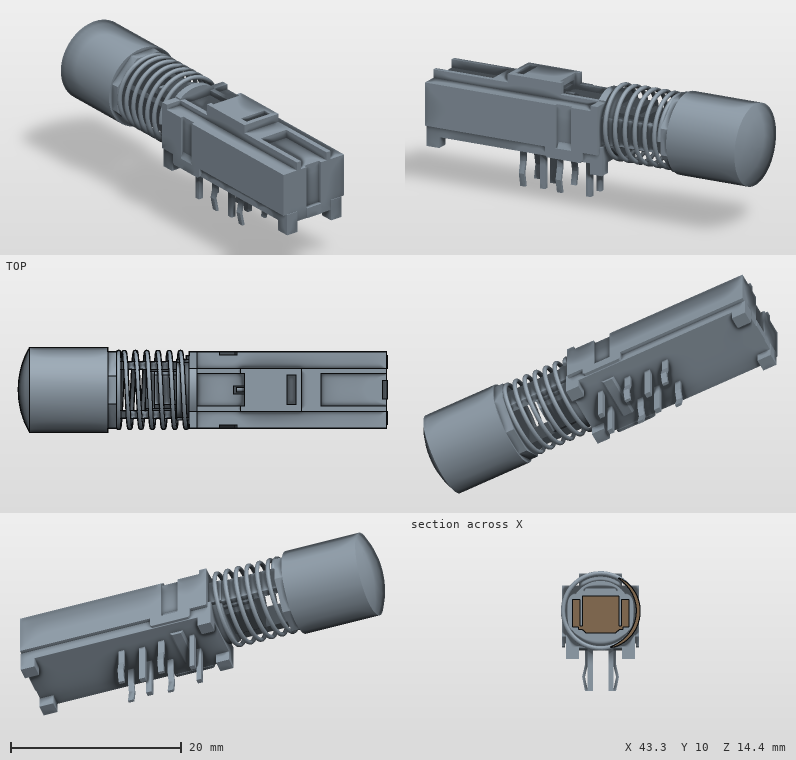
import cadquery as cq
import math


cap_diameter = 10.0
cap_radius = cap_diameter / 2
dome_height = 1.35
cap_end = 10.5
collar_end = 11.55
collar_half = 4.5
collar_chamfer = 2.85

wire_diameter = 0.5
wire_radius = wire_diameter / 2
coil_outer_diameter = 9.3
coil_radius = (coil_outer_diameter - wire_diameter) / 2
coil_turns = 6
coil_start, coil_end = 11.77, 19.7
coil_pitch = (coil_end - coil_start) / coil_turns

arm_inner, arm_outer = 2.42, 3.35
arm_bottom, arm_top = -1.9, 1.4
shaft_start = 14.98
shaft_step = 15.97
shaft_half_width = 2.15
shaft_flat_half = 1.75
shaft_half_height = 2.6
shaft_shoulder_top = 1.8
shaft_shoulder_bottom = -2.2
bridge_top = -1.75

tube_start = 18.55
tube_radius = 3.5
seat_diameter = 8.0
seat_radius = seat_diameter / 2
seat_top = -2.2
lug_outer = 3.55

body_start = 20.05
body_end = 43.2
body_half_width = 4.5
body_bottom, body_top = -3.05, 2.3
flange_end = 20.95
flange_top = 2.95
rib_half_width = 2.5
block_start, block_end = 26.05, 33.2
block_top = 4.37
rear_rib_top = 3.35
channel_half_width = 1.9

block_notch = 0.48
window_half_width = 1.7
window_top = 3.55
window_depth = 1.75
window_step_depth = 0.2
window_step_height = 0.65
hook_start = 25.25
hook_half_width = 0.48
hook_depth = 0.65
hook_rod_start = 25.6
hook_rod_diameter = 0.5
block_slot_start, block_slot_end = 31.5, 32.6
block_slot_half_width = 1.75
rear_channel_start = 35.5

side_slot_start, side_slot_end = 23.6, 25.65
side_slot_depth = 0.4
ledge_end = 25.45
ledge_top = -2.3
tab_start, tab_end = 22.1, 27.05
tab_chamfer = 0.2
tab_step_z = -3.8
tab_gap = 0.15

base_start = 19.7
base_end = 43.3
base_half_width = 4.03
base_bottom = -4.35
foot_bottom = -5.65
foot_inner = 2.5
front_foot_length = 1.6
rear_foot_length = 1.75
clip_start = 42.73
clip_half_width = 1.1
bar_start, bar_end = 23.65, 25.25
bar_depth = 0.35
bar_chamfer = 0.25
bar_half_width = 2.6

overall_height = 14.4
pin_bottom = cap_radius - overall_height
straight_pin_inner, straight_pin_outer = 0.9, 1.5
straight_pins = ((22.6, 0.6), (28.75, 0.7))
bent_pin_starts = (26.28, 31.2)
bent_pin_width = 0.7
bent_pin_inner, bent_pin_outer = 1.47, 1.8
bend_start_z = -6.28
bend_peak_z = -7.75
bend_offset = 0.35

overlap = 0.2


def block(x0, x1, y0, y1, z0, z1):
    """Box given by its limits on each axis."""
    return cq.Workplane("XY").box(x1 - x0, y1 - y0, z1 - z0, centered=False).translate((x0, y0, z0))


def centred_block(x0, x1, half_width, z0, z1):
    """Box symmetric about the plane Y = 0."""
    return block(x0, x1, -half_width, half_width, z0, z1)


def rod(x0, x1, radius):
    """Cylinder along the plunger axis."""
    return cq.Workplane("YZ", origin=(x0, 0, 0)).circle(radius).extrude(x1 - x0)


def profile_along_x(points, x0, x1):
    """Closed Y-Z outline extruded from x0 to x1."""
    return cq.Workplane("YZ", origin=(x0, 0, 0)).polyline(points).close().extrude(x1 - x0)


def both_sides(shape):
    """The shape together with its mirror image across Y = 0."""
    return shape.union(shape.mirror("XZ"))


def make_button():
    sphere_radius = (cap_radius**2 + dome_height**2) / (2 * dome_height)
    half_angle = math.asin(cap_radius / sphere_radius) / 2
    mid_x = sphere_radius * (1 - math.cos(half_angle))
    mid_radius = sphere_radius * math.sin(half_angle)
    cap = (
        cq.Workplane("XY")
        .moveTo(0, 0)
        .threePointArc((mid_x, mid_radius), (dome_height, cap_radius))
        .lineTo(cap_end, cap_radius)
        .lineTo(cap_end, 0)
        .close()
        .revolve(360, (0, 0, 0), (1, 0, 0))
    )
    collar = centred_block(cap_end - overlap, collar_end, collar_half, -collar_half, collar_half)
    return cap.union(collar.edges("|X").chamfer(collar_chamfer))


def make_spring_pieces():
    """Helical coil from -Y round to -Y, and the flat half turn over +Z that leads into it."""
    helix = cq.Wire.makeHelix(coil_pitch, coil_pitch * coil_turns, coil_radius)
    coil = (
        cq.Workplane("XZ", origin=(coil_radius, 0, 0))
        .circle(wire_radius)
        .sweep(cq.Workplane(obj=helix), isFrenet=True)
        .rotate((0, 0, 0), (0, 1, 0), 90)
        .rotate((0, 0, 0), (1, 0, 0), -90)
    )
    end_turn = (
        cq.Workplane("XY")
        .center(0, -coil_radius)
        .circle(wire_radius)
        .revolve(180, (0, coil_radius, 0), (-1, coil_radius, 0))
    )
    return [piece.translate((coil_start, 0, 0)).val() for piece in (coil, end_turn)]


def make_plunger():
    arms = both_sides(
        block(collar_end - overlap, body_start + overlap, arm_inner, arm_outer, arm_bottom, arm_top)
    )
    shaft = profile_along_x(
        [
            (-shaft_flat_half, -shaft_half_height),
            (shaft_flat_half, -shaft_half_height),
            (shaft_half_width, shaft_shoulder_bottom),
            (shaft_half_width, shaft_shoulder_top),
            (shaft_flat_half, shaft_half_height),
            (-shaft_flat_half, shaft_half_height),
            (-shaft_half_width, shaft_shoulder_top),
            (-shaft_half_width, shaft_shoulder_bottom),
        ],
        shaft_start,
        body_start,
    )
    step = centred_block(shaft_start, shaft_step, shaft_half_width, shaft_shoulder_top, shaft_half_height)
    bridge = centred_block(shaft_start, body_start, arm_inner + overlap, shaft_shoulder_bottom, bridge_top)
    return arms.union(shaft.cut(step)).union(bridge)


def make_guide_tube():
    tube = rod(tube_start, body_start + overlap, tube_radius)
    lower_seat = rod(tube_start, body_start + overlap, seat_radius).intersect(
        centred_block(tube_start, body_start + overlap, seat_radius, -seat_radius, seat_top)
    )
    lugs = both_sides(block(tube_start, body_start + overlap, arm_inner, lug_outer, arm_bottom, arm_top))
    return tube.union(lower_seat).union(lugs)


def make_housing():
    body = centred_block(body_start, body_end, body_half_width, body_bottom, body_top)
    ears = both_sides(block(body_start, flange_end, rib_half_width, body_half_width, body_top, flange_top))
    ring = rod(body_start, flange_end, seat_radius).intersect(
        centred_block(body_start, flange_end, rib_half_width, 0, seat_radius)
    )
    front_rib = centred_block(flange_end, block_start, rib_half_width, body_top, flange_top)
    top_block = centred_block(block_start, block_end, rib_half_width, body_top, block_top)
    rear_rib = centred_block(block_end, body_end, rib_half_width, body_top, rear_rib_top)
    for piece in (ears, ring, front_rib, top_block, rear_rib):
        body = body.union(piece)
    return body


def cut_top_recesses(body):
    notch_end = block_start + block_notch
    window_end = notch_end + window_depth
    step_start = notch_end + window_step_depth
    step_top = body_top + window_step_height
    front_channel = centred_block(flange_end, notch_end, channel_half_width, body_top, block_top)
    window = centred_block(notch_end, window_end, window_half_width, body_top, window_top)
    window_step = centred_block(step_start, window_end, window_half_width, body_top, step_top)
    hook_pocket = centred_block(hook_start, notch_end, hook_half_width, body_top - hook_depth, body_top)
    slot = centred_block(block_slot_start, block_slot_end, block_slot_half_width, body_top, block_top)
    rear_channel = centred_block(rear_channel_start, body_end, channel_half_width, body_top, rear_rib_top)
    clip_notch = centred_block(clip_start, body_end, clip_half_width, body_bottom, body_top)
    for recess in (front_channel, window.cut(window_step), hook_pocket, slot, rear_channel, clip_notch):
        body = body.cut(recess)
    hook_rod = rod(hook_rod_start, step_start + overlap, hook_rod_diameter / 2).translate((0, 0, body_top))
    return body.union(hook_rod)


def cut_side_slots(body):
    slot_floor = body_half_width - side_slot_depth
    slot = block(side_slot_start, side_slot_end, slot_floor, body_half_width, body_bottom, body_top)
    ledge = profile_along_x(
        [(slot_floor, ledge_top), (slot_floor, body_bottom), (body_half_width, body_bottom)],
        side_slot_start,
        ledge_end,
    )
    return body.cut(both_sides(slot.cut(ledge)))


def make_side_tabs():
    tab = block(tab_start, tab_end, base_half_width, body_half_width, base_bottom, body_bottom)
    tab = tab.faces("<Z").edges("|Y").chamfer(tab_chamfer)
    gap = block(tab_start, tab_end, base_half_width, base_half_width + tab_gap, base_bottom, tab_step_z)
    return both_sides(tab.cut(gap))


def make_base():
    plate = centred_block(base_start, body_end, base_half_width, base_bottom, body_bottom)
    front_wall = centred_block(base_start, body_start, base_half_width, body_bottom, seat_top)
    clip = centred_block(clip_start, base_end, clip_half_width, base_bottom, body_bottom)
    front_foot = block(
        base_start, base_start + front_foot_length, foot_inner, base_half_width, foot_bottom, body_bottom
    )
    rear_foot = block(
        base_end - rear_foot_length, base_end, foot_inner, base_half_width, foot_bottom, body_bottom
    )
    bar = centred_block(bar_start, bar_end, bar_half_width, base_bottom - bar_depth, base_bottom)
    bar = bar.faces("<Z").edges("|Y").chamfer(bar_chamfer)
    for piece in (front_wall, clip, both_sides(front_foot), both_sides(rear_foot), bar):
        plate = plate.union(piece)
    return plate


def make_pins():
    pin_top = base_bottom + overlap
    pins = cq.Workplane("XY")
    for start, width in straight_pins:
        pin = block(start, start + width, straight_pin_inner, straight_pin_outer, pin_bottom, pin_top)
        pins = pins.add(both_sides(pin))
    for start in bent_pin_starts:
        pin = profile_along_x(
            [
                (bent_pin_outer, pin_top),
                (bent_pin_outer, bend_start_z),
                (bent_pin_outer + bend_offset, bend_peak_z),
                (bent_pin_outer, pin_bottom),
                (bent_pin_inner, pin_bottom),
                (bent_pin_inner + bend_offset, bend_peak_z),
                (bent_pin_inner, bend_start_z),
                (bent_pin_inner, pin_top),
            ],
            start,
            start + bent_pin_width,
        )
        pins = pins.add(both_sides(pin))
    return pins.combine()


housing = cut_side_slots(cut_top_recesses(make_housing()))

solid_parts = make_button()
for part in (make_plunger(), make_guide_tube(), housing, make_side_tabs(), make_base(), make_pins()):
    solid_parts = solid_parts.union(part)

result = cq.Workplane(obj=solid_parts.val().fuse(*make_spring_pieces())).solids()